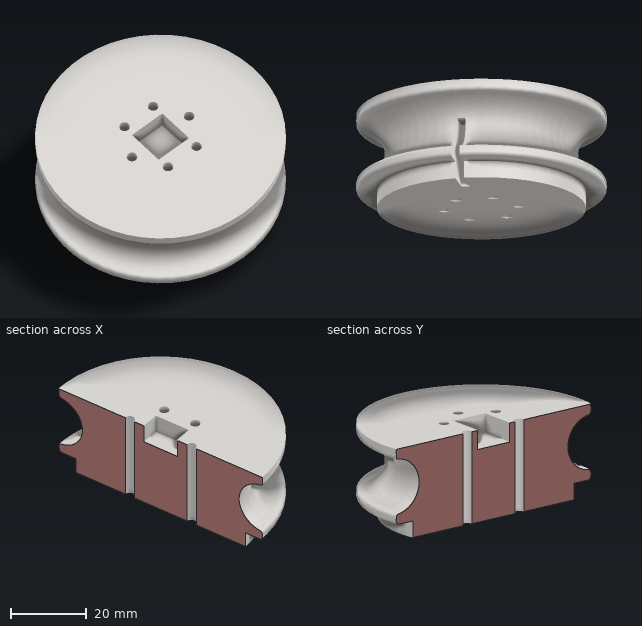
import cadquery as cq

outer_diameter = 66.0
total_height = 25.5
outer_radius = outer_diameter / 2

boss_diameter = 55.05
boss_height = 4.55

groove_radius = 7.5
groove_center_z = (boss_height + total_height) / 2
rim_fillet = 1.0

pocket_side = 10.6
pocket_depth = 5.3
hole_count = 6
hole_diameter = 2.85
hole_circle_diameter = 20.0

slot_width = 2.25
slot_height = 17.0
slot_floor_radius = 19.8


def make_wheel():
    """Revolve the grooved wheel and round its rims, leaving the top edge sharp."""
    groove_bottom = groove_center_z - groove_radius
    groove_top = groove_center_z + groove_radius
    profile = (
        cq.Workplane("XZ")
        .moveTo(0, boss_height)
        .lineTo(outer_radius, boss_height)
        .lineTo(outer_radius, groove_bottom)
        .threePointArc(
            (outer_radius - groove_radius, groove_center_z),
            (outer_radius, groove_top),
        )
        .lineTo(outer_radius, total_height)
        .lineTo(0, total_height)
        .close()
    )
    wheel = profile.revolve(360, (0, 0, 0), (0, 1, 0))
    rim_edges = wheel.edges("%CIRCLE").edges("not >Z")
    return rim_edges.fillet(rim_fillet)


def make_boss():
    """Make the plain round boss that carries the wheel."""
    return cq.Workplane("XY").circle(boss_diameter / 2).extrude(boss_height)


def make_pocket():
    """Make the square pocket cutter, sunk from the top face."""
    top = cq.Workplane("XY").workplane(offset=total_height)
    return top.rect(pocket_side, pocket_side).extrude(-pocket_depth)


def make_holes():
    """Make the ring of through-hole cutters, with two holes on the Y axis."""
    ring = cq.Workplane("XY").polarArray(hole_circle_diameter / 2, 90, 360, hole_count)
    return ring.circle(hole_diameter / 2).extrude(total_height)


def make_slot():
    """Make the slot cutter, from the outer rim in to the flat slot floor."""
    return cq.Workplane("XY").box(
        outer_radius - slot_floor_radius,
        slot_width,
        slot_height,
        centered=(False, True, False),
    ).translate((-outer_radius, 0, 0))


result = (
    make_wheel()
    .union(make_boss())
    .cut(make_pocket())
    .cut(make_holes())
    .cut(make_slot())
)